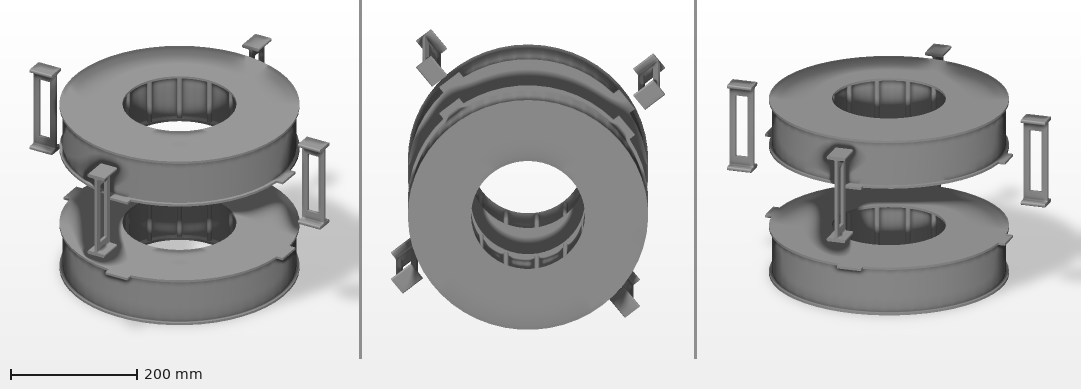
import cadquery as cq

overall_height = 295.0
bracket_span = 530.0
bracket_count = 4

disc_diameter = 380.0
bore_diameter = 180.0
plate_thickness = 4.0
cage_height = 81.0
tab_span = 400.0
tab_width = 40.5
pin_count = 12
pin_diameter = 8.0

core_outer_diameter = 370.0
core_inner_diameter = 200.0
core_height = cage_height - 2 * plate_thickness

pin_circle_radius = (bore_diameter + core_inner_diameter) / 4

bracket_height = 144.0
bracket_depth = 40.5
bracket_top = overall_height - plate_thickness
flange_width = 31.0
flange_thickness = 6.0
flange_edge_radius = 2.35
web_thickness = 5.0
web_root_radius = 2.55
slot_width = 20.0
slot_height = 103.0


def ring(outer_diameter, inner_diameter, height, bottom):
    """Flat ring about the Z axis, rising from the given bottom level."""
    return (
        cq.Workplane("XY")
        .workplane(offset=bottom)
        .circle(outer_diameter / 2)
        .circle(inner_diameter / 2)
        .extrude(height)
    )


def make_cage():
    """Cage with its tabbed base disc on Z = 0 and its lid on top."""
    tab_bars = (
        cq.Workplane("XY")
        .rect(tab_span, tab_width)
        .extrude(plate_thickness)
        .union(cq.Workplane("XY").rect(tab_width, tab_span).extrude(plate_thickness))
    )
    bore = cq.Workplane("XY").circle(bore_diameter / 2).extrude(plate_thickness)

    base = ring(disc_diameter, bore_diameter, plate_thickness, 0).union(tab_bars.cut(bore))
    lid = ring(disc_diameter, bore_diameter, plate_thickness, cage_height - plate_thickness)

    pins = (
        cq.Workplane("XY")
        .polarArray(pin_circle_radius, 0, 360, pin_count)
        .circle(pin_diameter / 2)
        .extrude(cage_height)
    )
    return base.union(pins).union(lid)


def make_core():
    """Core ring seated on the base disc of a cage that stands on Z = 0."""
    return ring(core_outer_diameter, core_inner_diameter, core_height, plate_thickness)


def make_bracket():
    """I-section bracket on the -Y side, its length running along Y."""
    outer_face = -bracket_span / 2
    middle_y = outer_face + bracket_depth / 2
    middle_z = bracket_top - bracket_height / 2

    def block(width, height, center_z):
        return cq.Workplane("XY").box(width, bracket_depth, height).translate((0, middle_y, center_z))

    flange_offset = (bracket_height - flange_thickness) / 2
    body = block(web_thickness, bracket_height, middle_z)
    for side in (-1, 1):
        flange = block(flange_width, flange_thickness, middle_z + side * flange_offset)
        body = body.union(flange.edges("|Y").fillet(flange_edge_radius))
    web_roots = cq.selectors.BoxSelector(
        (-web_thickness, outer_face, middle_z - flange_offset),
        (web_thickness, outer_face + bracket_depth, middle_z + flange_offset),
    )
    body = body.edges("|Y").edges(web_roots).fillet(web_root_radius)

    slot = cq.Workplane("XY").box(web_thickness, slot_width, slot_height)
    return body.cut(slot.translate((0, middle_y, middle_z)))


def lower(part):
    """Turn a part over so that its base disc faces up, keeping its bottom on Z = 0."""
    return part.mirror("XY").translate((0, 0, cage_height))


def upper(part):
    """Raise a part so that its lid is at the top of the assembly."""
    return part.translate((0, 0, overall_height - cage_height))


cage = make_cage()
core = make_core()
cages = [lower(cage), upper(cage)]
cores = [lower(core), upper(core)]

bracket = make_bracket()
brackets = [
    bracket.rotate((0, 0, 0), (0, 0, 1), 360 / bracket_count * turn)
    for turn in range(bracket_count)
]

result = cq.Compound.makeCompound([body.val() for body in cages + cores + brackets])